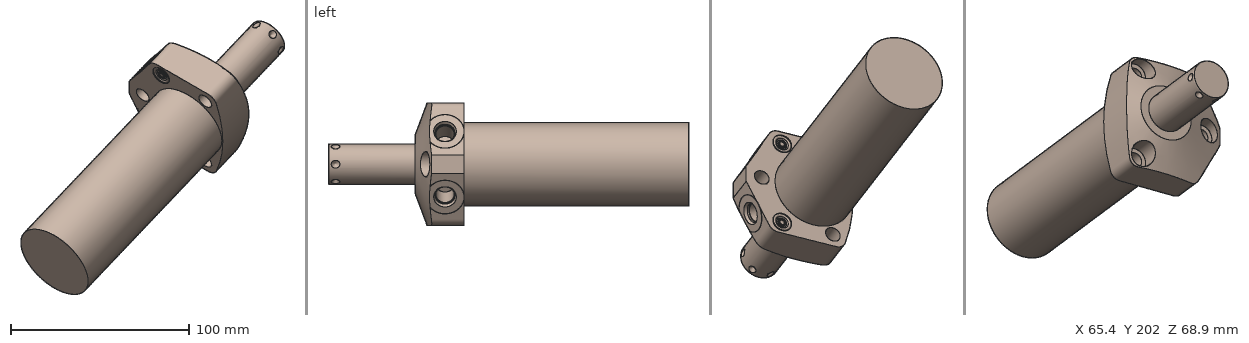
import cadquery as cq
import math


total_length = 202.0
body_diameter = 47.0
body_length = 126.0
rod_diameter = 22.8
rod_end = total_length - body_length
rod_chamfer_length = 0.8
rod_chamfer_width = 0.2

dimple_count = 6
dimple_diameter = 4.8
dimple_setback = 3.8
dimple_half_angle = 45.0

flange_thickness = 27.5
flange_left = -41.2
flange_right = 24.2
flange_half_height = 68.9 / 2
left_flat_half_height = 5.3
slant_angle = 61.5
right_arc_radius = 101.0
corner_radius = 6.0

cone_start_radius = 16.5
cone_angle = 20.3
cone_outer_radius = 50.5

mount_hole_diameter = 8.9
mount_counterbore_diameter = 14.1
mount_seat_y = 13.3
left_mount_hole_x = -31.7
right_mount_hole_x = 12.0
upper_hole_z = 26.7

plug_x = -19.0
plug_diameter = 11.3
plug_rim_depth = 0.6
plug_recess_diameter = 7.7
plug_recess_floor_diameter = 6.0
plug_recess_depth = 1.0
plug_pin_diameter = 4.5
plug_pin_depth = 0.5
plug_dimple_diameter = 3.0
plug_dimple_depth = 0.8

port_y = 10.7
spotface_diameter = 21.5
spotface_depth = 0.2
port_mouth_diameter = 12.7
port_chamfer_depth = 2.0
port_thread_diameter = 11.1
port_thread_depth = 3.2
port_bore_diameter = 10.3
port_depth = 15.5

cut_overrun = 2.0
plug_root_overlap = 1.0


def revolved_about_y(points):
    """Solid of revolution about Y from (radius, y) points."""
    return cq.Workplane("XY").polyline(points).close().revolve(360, (0, 0, 0), (0, 1, 0))


def turned(outline):
    """Solid of revolution about Z from a closed (radius, depth) outline."""
    return outline.revolve(360, (0, 0, 0), (0, 1, 0)).val()


def turned_polygon(points):
    """Solid of revolution about Z from (radius, depth) points."""
    return turned(cq.Workplane("XZ").polyline(points).close())


def placed(solid, origin, direction):
    """Copy of a turned solid with depth zero at origin and depth running along direction."""
    plane = cq.Plane(origin=origin, normal=direction)
    return cq.Workplane(solid.moved(cq.Location(plane)))


def make_body_and_rod():
    body = cq.Workplane("XZ").circle(body_diameter / 2).extrude(body_length)
    rod_radius = rod_diameter / 2
    rod = revolved_about_y([
        (0, 0),
        (rod_radius, 0),
        (rod_radius, rod_end - rod_chamfer_length),
        (rod_radius - rod_chamfer_width, rod_end),
        (0, rod_end),
    ])
    return body.union(rod)


def make_flange():
    slant_run = (flange_half_height - left_flat_half_height) / math.tan(math.radians(slant_angle))
    slant_top_x = flange_left + slant_run
    arc_sag = right_arc_radius - math.sqrt(right_arc_radius**2 - flange_half_height**2)
    arc_end_x = flange_right - arc_sag
    outline = (
        cq.Workplane("XZ")
        .moveTo(flange_left, left_flat_half_height)
        .lineTo(slant_top_x, flange_half_height)
        .lineTo(arc_end_x, flange_half_height)
        .threePointArc((flange_right, 0), (arc_end_x, -flange_half_height))
        .lineTo(slant_top_x, -flange_half_height)
        .lineTo(flange_left, -left_flat_half_height)
        .close()
        .extrude(-flange_thickness)
    )
    plate = outline.edges("|Y").edges(">Z or <Z").fillet(corner_radius)
    cone_drop = (cone_outer_radius - cone_start_radius) * math.tan(math.radians(cone_angle))
    envelope = revolved_about_y([
        (0, 0),
        (cone_outer_radius, 0),
        (cone_outer_radius, flange_thickness - cone_drop),
        (cone_start_radius, flange_thickness),
        (0, flange_thickness),
    ])
    return plate.intersect(envelope)


def cut_mount_holes(part):
    places = [
        (left_mount_hole_x, 0),
        (right_mount_hole_x, upper_hole_z),
        (right_mount_hole_x, -upper_hole_z),
    ]
    holes = cq.Workplane("XZ").pushPoints(places).circle(mount_hole_diameter / 2).extrude(-flange_thickness)
    counterbores = (
        cq.Workplane("XZ", origin=(0, mount_seat_y, 0))
        .pushPoints(places)
        .circle(mount_counterbore_diameter / 2)
        .extrude(mount_seat_y - flange_thickness)
    )
    return part.cut(holes).cut(counterbores)


def add_plugs(part):
    plug_radius = plug_diameter / 2
    recess_radius = plug_recess_diameter / 2
    pin_radius = plug_pin_diameter / 2
    dimple_radius = plug_dimple_diameter / 2
    crest_radius = (plug_radius + recess_radius) / 2
    seat = turned_polygon([
        (0, -cut_overrun),
        (plug_radius, -cut_overrun),
        (plug_radius, plug_recess_depth),
        (0, plug_recess_depth),
    ])
    plug_outline = (
        cq.Workplane("XZ")
        .moveTo(0, plug_recess_depth + plug_root_overlap)
        .lineTo(plug_radius, plug_recess_depth + plug_root_overlap)
        .lineTo(plug_radius, plug_rim_depth)
        .threePointArc((crest_radius, 0), (recess_radius, plug_rim_depth))
        .lineTo(plug_recess_floor_diameter / 2, plug_recess_depth)
        .lineTo(pin_radius, plug_recess_depth)
        .lineTo(pin_radius, plug_pin_depth)
        .lineTo(dimple_radius, plug_pin_depth)
        .lineTo(dimple_radius, plug_dimple_depth)
        .lineTo(0, plug_dimple_depth)
        .close()
    )
    plug = turned(plug_outline)
    for side in (1, -1):
        centre = (plug_x, 0, side * upper_hole_z)
        part = part.cut(placed(seat, centre, (0, 1, 0)))
        part = part.union(placed(plug, centre, (0, 1, 0)))
    return part


def cut_ports(part):
    slant = math.radians(slant_angle)
    face_distance = left_flat_half_height * math.cos(slant) - flange_left * math.sin(slant)
    mouth_radius = port_mouth_diameter / 2
    thread_radius = port_thread_diameter / 2
    port = turned_polygon([
        (0, -cut_overrun),
        (spotface_diameter / 2, -cut_overrun),
        (spotface_diameter / 2, spotface_depth),
        (mouth_radius, spotface_depth),
        (thread_radius, port_chamfer_depth),
        (thread_radius, port_thread_depth),
        (port_bore_diameter / 2, port_thread_depth),
        (port_bore_diameter / 2, port_depth),
        (0, port_depth),
    ])
    for side in (1, -1):
        outward = (-math.sin(slant), 0, side * math.cos(slant))
        mouth = (outward[0] * face_distance, port_y, outward[2] * face_distance)
        part = part.cut(placed(port, mouth, (-outward[0], 0, -outward[2])))
    return part


def cut_rod_dimples(part):
    rod_radius = rod_diameter / 2
    dimple_radius = dimple_diameter / 2
    half_angle_slope = math.tan(math.radians(dimple_half_angle))
    dimple = turned_polygon([
        (0, -cut_overrun),
        (dimple_radius + cut_overrun * half_angle_slope, -cut_overrun),
        (0, dimple_radius / half_angle_slope),
    ])
    for index in range(dimple_count):
        angle = 2 * math.pi * index / dimple_count
        outward = (math.cos(angle), 0, math.sin(angle))
        mouth = (outward[0] * rod_radius, rod_end - dimple_setback, outward[2] * rod_radius)
        part = part.cut(placed(dimple, mouth, (-outward[0], 0, -outward[2])))
    return part


result = make_body_and_rod().union(make_flange())
result = cut_mount_holes(result)
result = add_plugs(result)
result = cut_ports(result)
result = cut_rod_dimples(result)